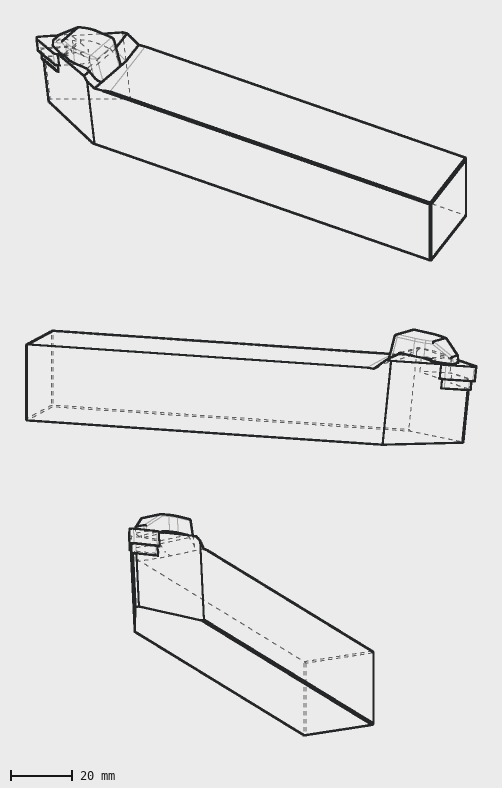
import cadquery as cq
import math

LENGTH = 150.0
SHANK = 25.0
EDGE_BREAK = 0.5

TIP_HEIGHT = 25.2
TILT = 6.0
HALF_ANGLE = 27.5
NOSE_SETBACK = 2.0
NOSE_WIDTH = 1.2

STEP_TOP = 26.5
STEP_RUN = 3.9
STEP_DROP = 3.6

INSERT_CIRCLE = 9.6
INSERT_THICKNESS = 4.8
TIP_RADIUS = 0.82
SIDE_CORNER_DIAMETER = 3.5
SEAT_CIRCLE = 8.5
SEAT_THICKNESS = 3.2

CLAMP_ANGLE = 11.0
CLAMP_NOSE_X = 6.9
CLAMP_NOSE_Y = 0.3
CLAMP_HEIGHT = 6.5
CLAMP_WIDTH = 12.0
CLAMP_NOSE_WIDTH = 3.9
CLAMP_TAPER_LENGTH = 10.8
CLAMP_LENGTH = 22.5
CLAMP_TOP_END = 20.8
BROW_START = 0.6
BROW_BASE = 2.2
BROW_END = 6.9
PAD_LENGTH = 6.8
PAD_GAP = 0.8
SHOULDER_RADIUS = 10.5
REAR_DIAMETER = 3.5
SIDE_EDGE_RADIUS = 0.8

CLAMP_STEP_TOP = CLAMP_LENGTH - STEP_RUN

REACH = 90.0

lean = math.radians(TILT)
half_angle = math.radians(HALF_ANGLE)

INSERT_CENTRE = INSERT_CIRCLE / 2 / math.sin(half_angle) - TIP_RADIUS * (1 / math.sin(half_angle) - 1)

head_plane = cq.Plane(
    origin=(0, 0, TIP_HEIGHT),
    xDir=(math.cos(lean), 0, math.sin(lean)),
    normal=(-math.sin(lean), 0, math.cos(lean)),
)

clamp_plane = cq.Plane(
    origin=head_plane.toWorldCoords((CLAMP_NOSE_X, CLAMP_NOSE_Y, 0)),
    xDir=head_plane.xDir,
    normal=head_plane.zDir,
).rotated((0, 0, -CLAMP_ANGLE))


def side_prism(plane, points, width):
    """Prism with its outline in the x-z section of `plane`, centred across the y direction."""
    section = cq.Plane(origin=plane.origin, xDir=plane.xDir, normal=-plane.yDir)
    return cq.Workplane(section).polyline(points).close().extrude(width / 2, both=True)


def rhombus(circle, thickness, depth):
    """Rhombic plate round an inscribed circle, its top `depth` below the head top."""
    half_length = circle / 2 / math.sin(half_angle)
    half_width = circle / 2 / math.cos(half_angle)
    plate = (
        cq.Workplane(head_plane)
        .workplane(offset=-depth - thickness)
        .center(INSERT_CENTRE, 0)
        .polyline([(-half_length, 0), (0, -half_width), (half_length, 0), (0, half_width)])
        .close()
        .extrude(thickness)
    )
    for x, y, radius in (
        (half_length, 0, TIP_RADIUS),
        (0, half_width, SIDE_CORNER_DIAMETER / 2),
    ):
        for sign in (-1, 1):
            corner = (INSERT_CENTRE + sign * x, sign * y, -depth - thickness / 2)
            nearest = cq.selectors.NearestToPointSelector(head_plane.toWorldCoords(corner).toTuple())
            plate = plate.edges(nearest).fillet(radius)
    return plate


def make_blank():
    """Shank bar with a raised block for the head, still full width."""
    bar = cq.Workplane("XY").box(LENGTH, SHANK, SHANK, centered=(False, True, False))
    bar = bar.edges("(>X) or (|X and <Y)").chamfer(EDGE_BREAK)
    block_depth = TIP_HEIGHT / 2
    block_end = STEP_TOP + STEP_RUN
    block = side_prism(
        head_plane,
        [(0, 0), (STEP_TOP, 0), (block_end, -STEP_DROP), (block_end, -block_depth), (0, -block_depth)],
        SHANK,
    )
    return bar.union(block)


def step_cutter(plane, start):
    """Everything above the lower floor and behind a sloping step starting at `start`."""
    foot = start + STEP_RUN
    return side_prism(
        plane,
        [(foot, -STEP_DROP), (REACH, -STEP_DROP), (REACH, STEP_DROP), (start - STEP_RUN, STEP_DROP)],
        2 * REACH,
    )


def head_outline():
    """V-shaped plan of the head, continued over the whole shank."""
    nose = NOSE_WIDTH / 2
    flank_end = NOSE_SETBACK + (SHANK - nose) / math.tan(half_angle)
    return (
        cq.Workplane(head_plane)
        .workplane(offset=-REACH)
        .polyline([
            (NOSE_SETBACK, -nose),
            (flank_end, -SHANK),
            (2 * LENGTH, -SHANK),
            (2 * LENGTH, SHANK),
            (flank_end, SHANK),
            (NOSE_SETBACK, nose),
        ])
        .close()
        .extrude(2 * REACH)
    )


def nearest_edge(solid, x, y, z):
    """Edge whose centre is nearest to a point in the clamp's frame."""
    point = clamp_plane.toWorldCoords((x, y, z)).toTuple()
    return solid.edges(cq.selectors.NearestToPointSelector(point))


def clamp_side():
    """Side profile of the clamp, from the pad on the insert to the foot of its step."""
    return side_prism(
        clamp_plane,
        [
            (0, 0),
            (PAD_LENGTH, 0),
            (PAD_LENGTH, PAD_GAP),
            (CLAMP_STEP_TOP - PAD_GAP * STEP_RUN / STEP_DROP, PAD_GAP),
            (CLAMP_LENGTH, -STEP_DROP),
            (CLAMP_TOP_END, CLAMP_HEIGHT),
            (BROW_END, CLAMP_HEIGHT),
            (BROW_START, BROW_BASE),
        ],
        CLAMP_WIDTH,
    )


def clamp_plan():
    """Plan of the clamp: a narrow nose widening through rounded shoulders."""
    nose = CLAMP_NOSE_WIDTH / 2
    side = CLAMP_WIDTH / 2
    plan = (
        cq.Workplane(clamp_plane)
        .workplane(offset=-REACH)
        .polyline([
            (0, -nose),
            (CLAMP_TAPER_LENGTH, -side),
            (2 * CLAMP_LENGTH, -side),
            (2 * CLAMP_LENGTH, side),
            (CLAMP_TAPER_LENGTH, side),
            (0, nose),
        ])
        .close()
        .extrude(2 * REACH)
    )
    for sign in (-1, 1):
        plan = nearest_edge(plan, CLAMP_TAPER_LENGTH, sign * side, 0).fillet(SHOULDER_RADIUS)
    return plan


def taper_side(x):
    """Half width of the tapering nose at distance `x` behind its front."""
    return (CLAMP_NOSE_WIDTH + (CLAMP_WIDTH - CLAMP_NOSE_WIDTH) * x / CLAMP_TAPER_LENGTH) / 2


def round_rear(clamp):
    """Rounds the top and both upright edges of the clamp's rear face."""
    middle = ((CLAMP_TOP_END + CLAMP_LENGTH) / 2, (CLAMP_HEIGHT - STEP_DROP) / 2)
    edges = nearest_edge(clamp, CLAMP_TOP_END, 0, CLAMP_HEIGHT)
    for side in (-CLAMP_WIDTH / 2, CLAMP_WIDTH / 2):
        edges = edges.add(nearest_edge(clamp, middle[0], side, middle[1]))
    return edges.fillet(REAR_DIAMETER / 2)


def round_sides(clamp):
    """Rounds both side edges of the clamp, up the nose and brow and along the top."""
    brow_middle = (BROW_START + BROW_END) / 2
    top_middle = (CLAMP_TAPER_LENGTH + CLAMP_TOP_END) / 2
    edges = clamp.newObject([])
    for sign in (-1, 1):
        for x, side, z in (
            (BROW_START / 2, taper_side(BROW_START / 2), BROW_BASE / 2),
            (brow_middle, taper_side(brow_middle), (BROW_BASE + CLAMP_HEIGHT) / 2),
            (top_middle, CLAMP_WIDTH / 2, CLAMP_HEIGHT),
        ):
            edges = edges.add(nearest_edge(clamp, x, sign * side, z))
    return edges.fillet(SIDE_EDGE_RADIUS)


def make_clamp():
    """Finger that presses on the insert with its nose and stands on the step with its tail."""
    return round_sides(round_rear(clamp_side().intersect(clamp_plan())))


def make_holder(insert):
    """Shank, head, seat and clamp in one piece, with a pocket that fits the insert."""
    holder = make_blank()
    holder = holder.cut(step_cutter(head_plane, STEP_TOP))
    holder = holder.cut(step_cutter(clamp_plane, CLAMP_STEP_TOP))
    holder = holder.intersect(head_outline())
    holder = holder.union(rhombus(SEAT_CIRCLE, SEAT_THICKNESS, INSERT_THICKNESS))
    return holder.cut(insert).union(make_clamp())


insert = rhombus(INSERT_CIRCLE, INSERT_THICKNESS, 0)
holder = make_holder(insert)

result = cq.Compound.makeCompound([holder.solids().val(), insert.solids().val()])